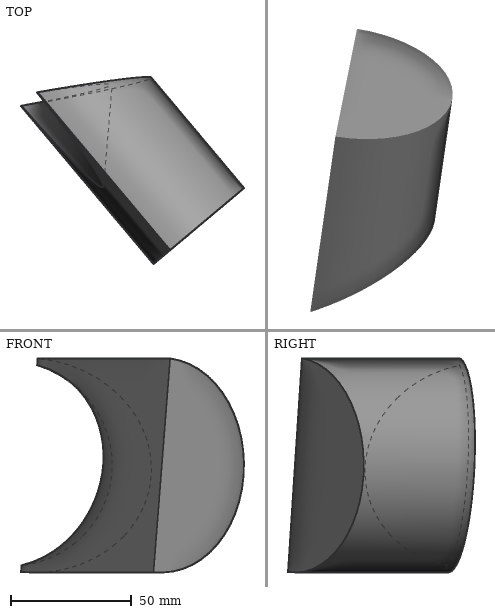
import cadquery as cq
import math

bar_radius = 44.4
flat_length = 85.3
miter_angle = 30

bore_radius = 42.6
bore_angle = 45
bore_depth = 47.5

heading = 130
roll = 5.8


def half_round_bar():
    """Half cylinder whose far end slopes back from the flat."""
    bar = (
        cq.Workplane("XY")
        .moveTo(0, -bar_radius)
        .threePointArc((bar_radius, 0), (0, bar_radius))
        .close()
        .extrude(flat_length)
    )
    miter_drop = bar_radius * math.tan(math.radians(miter_angle))
    miter_waste = (
        cq.Workplane("XZ")
        .moveTo(0, flat_length)
        .lineTo(bar_radius, flat_length - miter_drop)
        .lineTo(bar_radius, flat_length)
        .close()
        .extrude(bar_radius, both=True)
    )
    return bar.cut(miter_waste)


def oblique_bore():
    """Cylinder crossing the flat, with its innermost line at the notch depth."""
    angle = math.radians(bore_angle)
    axis_z = flat_length - bore_depth + bore_radius / math.sin(angle)
    axis = cq.Vector(math.sin(angle), 0, math.cos(angle))
    reach = 2 * flat_length
    start = cq.Vector(0, 0, axis_z) - axis * reach
    return cq.Workplane(cq.Solid.makeCylinder(bore_radius, 2 * reach, start, axis))


heading_rad = math.radians(heading)
roll_rad = math.radians(roll)
length_direction = (math.cos(heading_rad), math.sin(heading_rad), 0)
depth_direction = (
    math.sin(heading_rad) * math.cos(roll_rad),
    -math.cos(heading_rad) * math.cos(roll_rad),
    -math.sin(roll_rad),
)
attitude = cq.Plane(origin=(0, 0, 0), xDir=depth_direction, normal=length_direction)

notched_bar = half_round_bar().cut(oblique_bore())
result = cq.Workplane(notched_bar.val().moved(cq.Location(attitude)))